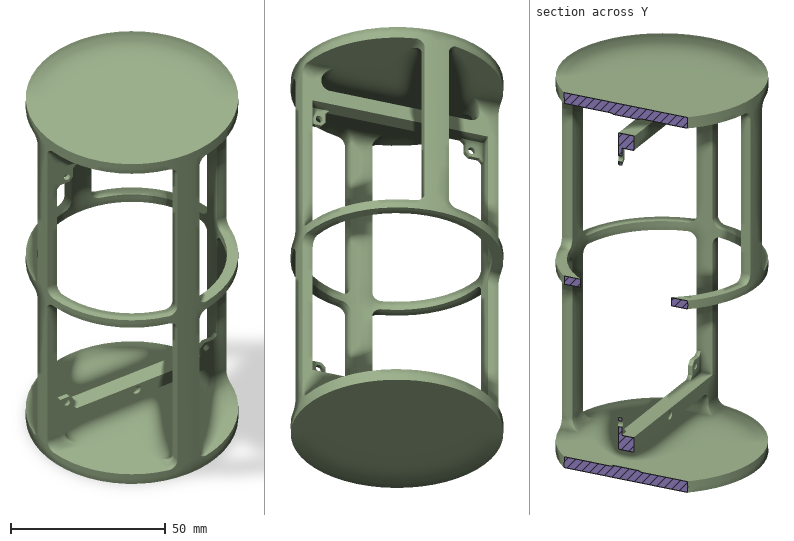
import cadquery as cq
import math

height = 133.0
outer_radius = 34.51
inner_radius = 30.9
mid_height = height / 2
disc_thickness = 4.0
ring_thickness = 3.0
ring_bottom = mid_height - ring_thickness / 2
ring_top = mid_height + ring_thickness / 2

flare_radius = 3.0
flare_bend = flare_radius * (1 - math.sqrt(0.5))

side_post_width = 8.5
side_post_half_angle = math.degrees(math.asin(side_post_width / 2 / outer_radius))
plate_thickness = 5.9

window_bottom = 15.7
slot_half_length = 27.7
slot_top = 10.8
slot_corner_radius = flare_radius

tab_thickness = 1.6
tab_hole_diameter = 2.4
tab_hole_y = 26.7
tab_hole_z = 19.5
tab_edge_margin = 2.3
tab_corner_chamfer = 1.5
tab_root_chamfer = 1.3

bar_hole_diameter = 3.0
bar_hole_z = 13.4

reach = 2 * outer_radius


def cylinder(radius, bottom, top):
    return cq.Workplane("XY").workplane(offset=bottom).circle(radius).extrude(top - bottom)


def mirror_z(solid):
    return solid.mirror("XY", (0, 0, mid_height))


def bay_profile(sketch, face, flared, bottom, top):
    """Run up one bay: flare, straight face, flare; the flares end at 'flared'."""
    bend = math.copysign(flare_bend, flared - face)
    return (
        sketch.lineTo(flared, bottom)
        .threePointArc((face + bend, bottom + flare_bend), (face, bottom + flare_radius))
        .lineTo(face, top - flare_radius)
        .threePointArc((face + bend, top - flare_bend), (flared, top))
    )


def flank(offset):
    """Solid on the -Y side of a post side face at y = offset, flared at discs and ring."""
    flared = offset + flare_radius
    sketch = cq.Workplane("XZ").moveTo(-reach, 0).lineTo(flared, 0)
    sketch = bay_profile(sketch, offset, flared, disc_thickness, ring_bottom)
    sketch = bay_profile(sketch, offset, flared, ring_top, height - disc_thickness)
    solid = sketch.lineTo(flared, height).lineTo(-reach, height).close().extrude(reach, both=True)
    return solid.rotate((0, 0, 0), (0, 0, 1), 90)


def side_post_shell():
    """Turned wall for the X posts; its bore flares inwards at the two discs."""
    foot = inner_radius - flare_radius
    sketch = cq.Workplane("XZ").moveTo(outer_radius, 0).lineTo(foot, 0)
    sketch = bay_profile(sketch, inner_radius, foot, disc_thickness, height - disc_thickness)
    return (
        sketch.lineTo(foot, height)
        .lineTo(outer_radius, height)
        .close()
        .revolve(360, (0, 0, 0), (0, 1, 0))
    )


def side_post():
    """Full-height post on the +X side with radial side faces."""
    side = flank(0).rotate((0, 0, 0), (0, 0, 1), side_post_half_angle)
    plus_x_half = cq.Workplane("XY").box(reach, reach, height, centered=(False, True, False))
    return side_post_shell().intersect(side).intersect(side.mirror("XZ")).intersect(plus_x_half)


def crossbar_slot():
    """Cutter for the rounded gap between the lower crossbar and the bottom disc."""
    slot_height = slot_top - disc_thickness
    return (
        cq.Workplane("XY")
        .box(reach, 2 * slot_half_length, slot_height)
        .edges("|X")
        .fillet(slot_corner_radius)
        .translate((0, 0, disc_thickness + slot_height / 2))
    )


def mounting_plate():
    """Posts on the Y axis joined by two crossbars."""
    side = flank(plate_thickness / 2).rotate((0, 0, 0), (0, 0, 1), -90)
    plate = cylinder(outer_radius, 0, height).intersect(side).intersect(side.mirror("YZ"))
    plate = plate.cut(cylinder(inner_radius, window_bottom, height - window_bottom))
    slot = crossbar_slot()
    plate = plate.cut(slot).cut(mirror_z(slot))
    bar_hole = (
        cq.Workplane("YZ")
        .center(0, bar_hole_z)
        .circle(bar_hole_diameter / 2)
        .extrude(plate_thickness, both=True)
    )
    return plate.cut(bar_hole)


def mounting_tab():
    """Tab in the lower +Y window corner, flush with the +X face of the plate."""
    edge_y = tab_hole_y - tab_edge_margin
    edge_z = tab_hole_z + tab_edge_margin
    wall_y = math.sqrt(inner_radius**2 - (plate_thickness / 2) ** 2)
    back_y = (inner_radius + outer_radius) / 2
    back_z = (slot_top + window_bottom) / 2
    return (
        cq.Workplane("YZ")
        .workplane(offset=plate_thickness / 2 - tab_thickness)
        .moveTo(back_y, back_z)
        .lineTo(edge_y - tab_root_chamfer, back_z)
        .lineTo(edge_y - tab_root_chamfer, window_bottom)
        .lineTo(edge_y, window_bottom + tab_root_chamfer)
        .lineTo(edge_y, edge_z - tab_corner_chamfer)
        .lineTo(edge_y + tab_corner_chamfer, edge_z)
        .lineTo(wall_y - tab_root_chamfer, edge_z)
        .lineTo(wall_y, edge_z + tab_root_chamfer)
        .lineTo(back_y, edge_z + tab_root_chamfer)
        .close()
        .extrude(tab_thickness)
        .cut(
            cq.Workplane("YZ")
            .center(tab_hole_y, tab_hole_z)
            .circle(tab_hole_diameter / 2)
            .extrude(plate_thickness)
        )
    )


bottom_disc = cylinder(outer_radius, 0, disc_thickness)
ring = cylinder(outer_radius, ring_bottom, ring_top).cut(cylinder(inner_radius, ring_bottom, ring_top))
result = bottom_disc.union(mirror_z(bottom_disc)).union(ring)

post = side_post()
upper_post = post.mirror("YZ").intersect(cylinder(reach, mid_height, height))
result = result.union(post).union(upper_post)

result = result.union(mounting_plate())
lower_tabs = mounting_tab().union(mounting_tab().mirror("XZ"))
result = result.union(lower_tabs).union(mirror_z(lower_tabs))